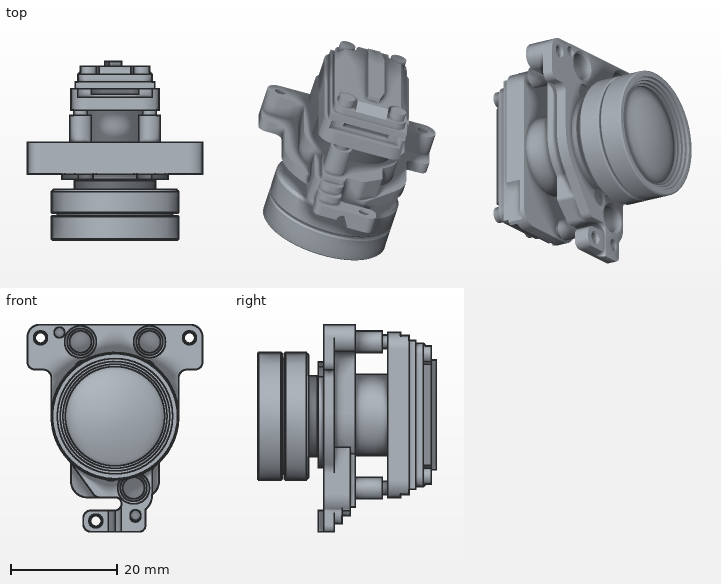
import cadquery as cq
import math


SAME_POINT = 1e-6

PLATE_THICK = 6.0
FRONT_LAYER = 2.05
RIM_R = 12.0
EAR_HALF_WIDTH = 16.5
PLATE_TOP = 17.0
EAR_CORNER_R = 2.4
FRONT_EAR_BOTTOM = 8.5
REAR_EAR_BOTTOM = 12.0
EAR_FILLET = 1.5
LOWER_BOTTOM = -15.5
LEFT_TANGENT_ANGLE = math.radians(215.7)
RIGHT_TANGENT_ANGLE = math.radians(315.8)
SLANT_END_R = 1.6
REAR_RIM_R = 9.3
REAR_WALL_X = -6.1
REAR_WALL_TOP_R = 1.5
REAR_WALL_BOTTOM = -11.8
REAR_WALL_END_R = 0.8
LOWER_RIGHT_X = 7.0
RIGHT_FILLET = 2.0
SHOULDER = (LOWER_RIGHT_X, -16.6, 3.5)

ARM_LEFT = 1.2
ARM_RIGHT = 5.75
ARM_BOTTOM = -22.0
ARM_CORNER_R = 1.2
ARM_NECK_Z = -17.8
ARM_NECK_R = 0.5
ARM_NECK = (ARM_RIGHT, ARM_NECK_Z, ARM_NECK_R)
SLOT_CORNER_R = 1.2
SLOT_CORNER = (ARM_LEFT, LOWER_BOTTOM, SLOT_CORNER_R)
TAB_TOP = -17.95
TAB_LEFT = -6.0
TAB_RIGHT = -1.24
TAB_CORNER_R = 1.5
TAB_RAISE = 1.0
REAR_STEPS = [
    (3.5, -20.5, 2.0),
    (5.05, -19.0, 2.0),
    (PLATE_THICK, -17.35, 0.6),
]

MOUNT_HOLES = [(-14.0, 14.5), (14.0, 14.5)]
TAB_HOLE = (-3.6, -19.95)
MOUNT_HOLE_D = 2.0
MOUNT_SINK_D = 2.6
PIN_D = 2.0
PIN_DEPTH = 1.5
TOP_PIN = (-10.45, 15.5)
ARM_PIN = (3.85, -18.85)
ARM_PIN_DROP = 0.3
ARM_PIN_RELIEF_DEPTH = 0.5

SPACERS = [(-6.5, 13.75), (6.5, 13.75), (3.5, -13.75)]
SPACER_D = 4.1
SPACER_END = 11.05
SPACER_NECK_D = 2.6
SPACER_BORE_D = 5.0
SPACER_SINK_D = 6.0
SPACER_BORE_DEPTH = 4.0
SPACER_HEAD_RISE = 0.2

BARREL_R = 7.65
LENS_DROP = 0.25
FLANGE_R = 10.0
FLANGE_THICK = 1.0
FLANGE_NOTCHES = [(-5.8, 8.5), (5.8, 8.5), (-0.75, -10.65)]
FLANGE_NOTCH_R = 1.75
FLANGE_NOTCH_SINK = 0.5
NECK_GAP = 0.2
NECK_GAP_R = 7.4
LENS_FRONT = -12.4
LENS_BACK = -2.8
GROOVE_BACK = -7.4
GROOVE_FRONT = -7.8
GROOVE_R = 10.9
BACK_CHAMFER = 0.5
RING_CHAMFER = 0.25
DOME_R = 9.35
DOME_RISE = 2.2
BORE_STEPS = [10.85, 10.3, 9.8]
BORE_STEP_DEPTH = 0.55

HOUSING_FRONT = 12.05
HOUSING_BACK = 16.1
HOUSING_HALF_X = 8.3
HOUSING_HALF_Z = 15.55
HOUSING_CORNER_R = 3.1
LEDGE_Y = 14.5
LEDGE_HALF_X = 7.0
LEDGE_HALF_Z = 13.85
LEDGE_R = 1.15
SCOOP_Y = 15.05
SCOOP_HALF_X = 4.45
SCOOP_R = 2.0
SIDE_RECESS_Y = 13.0
SIDE_RECESS_TOP = -6.85
SIDE_RECESS_DEPTH = 0.77
SIDE_RECESS_R = 2.0
BOARD_BACK = 17.35
BOARD_HALF_X = 7.5
BOARD_HALF_Z = 14.0
COVER_BACK = 18.75
COVER_HALF_X = 7.0
COVER_HALF_Z = 13.5
COVER_CORNER_R = 2.0
CAP_BACK = 20.3
SCREW_HEAD_R = 1.5
CONNECTOR_BACK = 21.22
CONNECTOR_LEFT = -1.95
CONNECTOR_RIGHT = 1.25
CONNECTOR_HALF_Z = 10.35
CONNECTOR_CUT_X = 0.85
CONNECTOR_CUT_Z = 3.1


def section(y):
    """Workplane facing -Y at the given Y, with local axes X and Z."""
    return cq.Workplane("XZ", origin=(0, y, 0))


def cylinder(center, radius, y_from, y_to):
    return section(y_from).center(*center).circle(radius).extrude(y_from - y_to)


def cone(center, radius_from, radius_to, y_from, y_to):
    base = section(y_from).center(*center).circle(radius_from)
    return base.workplane(offset=y_from - y_to).circle(radius_to).loft()


def block(x_from, x_to, z_from, z_to, y_from, y_to):
    return (
        section(y_from)
        .center((x_from + x_to) / 2, (z_from + z_to) / 2)
        .rect(x_to - x_from, z_to - z_from)
        .extrude(y_from - y_to)
    )


def centred_block(half_x, half_z, y_from, y_to):
    return block(-half_x, half_x, -half_z, half_z, y_from, y_to)


def rounded_prism(corners, y_from, y_to):
    """Prism over a polygon whose (x, z, radius) corners are rounded; radius 0 stays sharp."""
    path = None
    end = None
    for i, (x, z, radius) in enumerate(corners):
        corner = cq.Vector(x, z)
        to_last = (cq.Vector(*corners[i - 1][:2]) - corner).normalized()
        to_next = (cq.Vector(*corners[(i + 1) % len(corners)][:2]) - corner).normalized()
        half_angle = to_last.getAngle(to_next) / 2
        reach = radius / math.tan(half_angle)
        start = corner + to_last * reach
        if path is None:
            path = section(y_from).moveTo(start.x, start.y)
        elif (start - end).Length > SAME_POINT:
            path = path.lineTo(start.x, start.y)
        end = corner + to_next * reach
        if radius > 0:
            bisector = (to_last + to_next).normalized()
            middle = corner + bisector * (radius / math.sin(half_angle) - radius)
            path = path.threePointArc((middle.x, middle.y), (end.x, end.y))
    return path.close().extrude(y_from - y_to)


def rim_point(angle):
    return RIM_R * math.cos(angle), RIM_R * math.sin(angle)


def slant_x(z):
    """X at height Z on the line tangent to the rim at the left tangent angle."""
    return (RIM_R - z * math.sin(LEFT_TANGENT_ANGLE)) / math.cos(LEFT_TANGENT_ANGLE)


def ear_layer(rim_r, ear_bottom, ear_bottom_r, y_from, y_to):
    """Eared plate whose lower end is the half-round rim."""
    half_plate = [
        (EAR_HALF_WIDTH, PLATE_TOP, EAR_CORNER_R),
        (EAR_HALF_WIDTH, ear_bottom, ear_bottom_r),
        (rim_r, ear_bottom, EAR_FILLET),
        (rim_r, -rim_r, rim_r),
    ]
    mirrored = [(-x, z, r) for x, z, r in reversed(half_plate)]
    return rounded_prism(half_plate + mirrored, y_from, y_to)


def front_layer():
    """Full outline of the plate including the lower arm and tab."""
    left_x, left_z = rim_point(LEFT_TANGENT_ANGLE)
    right_x, right_z = rim_point(RIGHT_TANGENT_ANGLE)
    right_corner_z = right_z + (LOWER_RIGHT_X - right_x) * -right_x / right_z
    lower = [
        (left_x, left_z, 0),
        (slant_x(LOWER_BOTTOM), LOWER_BOTTOM, SLANT_END_R),
        SLOT_CORNER,
        (ARM_LEFT, TAB_TOP, SLOT_CORNER_R),
        (TAB_LEFT, TAB_TOP, TAB_CORNER_R),
        (TAB_LEFT, ARM_BOTTOM, TAB_CORNER_R),
        (ARM_RIGHT, ARM_BOTTOM, ARM_CORNER_R),
        ARM_NECK,
        SHOULDER,
        (LOWER_RIGHT_X, right_corner_z, RIGHT_FILLET),
        (right_x, right_z, 0),
        (0, 0, 0),
    ]
    layer = ear_layer(RIM_R, FRONT_EAR_BOTTOM, EAR_FILLET, 0, FRONT_LAYER)
    return layer.union(rounded_prism(lower, 0, FRONT_LAYER))


def rear_layer():
    """Narrower rear part of the plate, stepping forward down the arm."""
    layer = ear_layer(REAR_RIM_R, REAR_EAR_BOTTOM, EAR_CORNER_R, 0, PLATE_THICK)
    fillet_reach = REAR_RIM_R + REAR_WALL_TOP_R
    fillet_x = REAR_WALL_X - REAR_WALL_TOP_R
    fillet_z = -math.sqrt(fillet_reach**2 - fillet_x**2)
    rim_x = fillet_x * REAR_RIM_R / fillet_reach
    rim_z = fillet_z * REAR_RIM_R / fillet_reach
    web = (
        section(0)
        .lineTo(rim_x, rim_z)
        .radiusArc((REAR_WALL_X, fillet_z), REAR_WALL_TOP_R)
        .lineTo(0, fillet_z)
        .close()
        .extrude(-PLATE_THICK)
    )
    layer = layer.union(web)
    wall = [
        (0, fillet_z, 0),
        (REAR_WALL_X, fillet_z, 0),
        (REAR_WALL_X, REAR_WALL_BOTTOM, REAR_WALL_END_R),
        (REAR_WALL_X + REAR_WALL_BOTTOM - LOWER_BOTTOM, LOWER_BOTTOM, SLANT_END_R),
        SLOT_CORNER,
    ]
    for y_back, bottom, corner_r in REAR_STEPS:
        if bottom < ARM_NECK_Z:
            right_side = [(ARM_RIGHT, bottom, corner_r), ARM_NECK, SHOULDER, (LOWER_RIGHT_X, 0, 0)]
        else:
            right_side = [(ARM_RIGHT, bottom, 0), (ARM_RIGHT, 0, 0)]
        outline = wall + [(ARM_LEFT, bottom, corner_r)] + right_side + [(0, 0, 0)]
        layer = layer.union(rounded_prism(outline, 0, y_back))
    return layer


def offset_tab():
    """Raised front of the screw tab, rounded at its left end and reaching into the groove."""
    corners = [
        (TAB_LEFT, TAB_TOP, TAB_CORNER_R),
        (0, TAB_TOP, 0),
        (0, ARM_BOTTOM, 0),
        (TAB_LEFT, ARM_BOTTOM, TAB_CORNER_R),
    ]
    return rounded_prism(corners, -TAB_RAISE, 0)


def arm_groove():
    """Vertical groove between tab and arm: quarter round at the arm, sloped at the tab."""
    profile = (
        cq.Workplane("XY", origin=(0, 0, ARM_BOTTOM))
        .moveTo(ARM_LEFT, 0)
        .radiusArc((0, ARM_LEFT), -ARM_LEFT)
        .lineTo(TAB_RIGHT, -TAB_RAISE)
        .lineTo(ARM_LEFT, -TAB_RAISE)
        .close()
    )
    return profile.extrude(LOWER_BOTTOM - SLOT_CORNER_R - ARM_BOTTOM)


def countersunk_hole(center, hole_d, sink_d, y_face, y_end):
    sink_depth = (sink_d - hole_d) / 2
    hole = cylinder(center, hole_d / 2, y_face, y_end)
    return hole.union(cone(center, sink_d / 2, hole_d / 2, y_face, y_face + sink_depth))


def pin_holes():
    holes = cylinder(TOP_PIN, PIN_D / 2, 0, PIN_DEPTH)
    holes = holes.union(cylinder(ARM_PIN, PIN_D / 2, 0, PIN_DEPTH))
    relief = (
        section(0)
        .center(ARM_PIN[0], ARM_PIN[1] - ARM_PIN_DROP / 2)
        .slot2D(PIN_D + ARM_PIN_DROP, PIN_D, 90)
        .extrude(-ARM_PIN_RELIEF_DEPTH)
    )
    return holes.union(relief)


def mounting_plate():
    plate = front_layer().union(rear_layer()).union(offset_tab()).cut(arm_groove())
    for center in MOUNT_HOLES:
        plate = plate.cut(countersunk_hole(center, MOUNT_HOLE_D, MOUNT_SINK_D, 0, PLATE_THICK))
    plate = plate.cut(countersunk_hole(TAB_HOLE, MOUNT_HOLE_D, MOUNT_SINK_D, -TAB_RAISE, FRONT_LAYER))
    for center in SPACERS:
        plate = plate.cut(countersunk_hole(center, SPACER_BORE_D, SPACER_SINK_D, 0, SPACER_BORE_DEPTH))
    return plate.cut(pin_holes())


def spacer(center):
    head = SPACER_BORE_DEPTH - SPACER_HEAD_RISE
    body = cylinder(center, SPACER_D / 2, head, SPACER_END)
    return body.union(cylinder(center, SPACER_NECK_D / 2, SPACER_END, HOUSING_FRONT))


def lens_group():
    """Neck, two rings with a groove between them, stepped bore and domed front glass."""
    rim_y = LENS_FRONT + BORE_STEP_DEPTH * (len(BORE_STEPS) + 1)
    dome_sphere_r = (DOME_R**2 + DOME_RISE**2) / (2 * DOME_RISE)
    half_chord = DOME_R / 2
    half_chord_rise = math.sqrt(dome_sphere_r**2 - half_chord**2) - (dome_sphere_r - DOME_RISE)
    profile = (
        cq.Workplane("XY")
        .moveTo(0, -FLANGE_THICK)
        .lineTo(NECK_GAP_R, -FLANGE_THICK)
        .lineTo(NECK_GAP_R, -FLANGE_THICK - NECK_GAP)
        .lineTo(BARREL_R, -FLANGE_THICK - NECK_GAP)
        .lineTo(BARREL_R, LENS_BACK)
        .lineTo(RIM_R - BACK_CHAMFER, LENS_BACK)
        .lineTo(RIM_R, LENS_BACK - BACK_CHAMFER)
        .lineTo(RIM_R, GROOVE_BACK + RING_CHAMFER)
        .lineTo(RIM_R - RING_CHAMFER, GROOVE_BACK)
        .lineTo(GROOVE_R, GROOVE_BACK)
        .lineTo(GROOVE_R, GROOVE_FRONT)
        .lineTo(RIM_R - RING_CHAMFER, GROOVE_FRONT)
        .lineTo(RIM_R, GROOVE_FRONT - RING_CHAMFER)
        .lineTo(RIM_R, LENS_FRONT + RING_CHAMFER)
        .lineTo(RIM_R - RING_CHAMFER, LENS_FRONT)
        .lineTo(BORE_STEPS[0], LENS_FRONT)
    )
    for i, (step_r, next_r) in enumerate(zip(BORE_STEPS, BORE_STEPS[1:] + [DOME_R]), start=1):
        step_y = LENS_FRONT + BORE_STEP_DEPTH * i
        profile = profile.lineTo(step_r, step_y).lineTo(next_r, step_y)
    profile = (
        profile.lineTo(DOME_R, rim_y)
        .threePointArc((half_chord, rim_y - half_chord_rise), (0, rim_y - DOME_RISE))
        .close()
    )
    return profile.revolve(360, (0, 0, 0), (0, 1, 0)).translate((0, 0, -LENS_DROP))


def lens():
    flange = cylinder((0, 0), FLANGE_R, -FLANGE_THICK, 0)
    barrel = cylinder((0, 0), BARREL_R, PLATE_THICK, HOUSING_FRONT)
    return flange.union(lens_group()).union(barrel)


def flange_notches():
    notches = cq.Workplane("XZ")
    for center in FLANGE_NOTCHES:
        notches = notches.add(cylinder(center, FLANGE_NOTCH_R, -FLANGE_THICK, FLANGE_NOTCH_SINK))
    return notches.combine()


def end_recess(side, half_x, floor_z, corner_r, y_from):
    """Recess in the top (side 1) or bottom (side -1) of the housing, open to the back."""
    mouth_z = HOUSING_HALF_Z + corner_r
    corners = [
        (-half_x, side * mouth_z, 0),
        (half_x, side * mouth_z, 0),
        (half_x, side * floor_z, corner_r),
        (-half_x, side * floor_z, corner_r),
    ]
    return rounded_prism(corners, y_from, HOUSING_BACK)


def side_recess():
    """Shallow recess low on the left side of the housing with a curved roof."""
    wall_x = SIDE_RECESS_DEPTH - HOUSING_HALF_X
    roof_height = math.sqrt(SIDE_RECESS_R**2 - (SIDE_RECESS_R - SIDE_RECESS_DEPTH) ** 2)
    return (
        section(SIDE_RECESS_Y)
        .moveTo(-HOUSING_HALF_X, SIDE_RECESS_TOP)
        .radiusArc((wall_x, SIDE_RECESS_TOP - roof_height), SIDE_RECESS_R)
        .lineTo(wall_x, -HOUSING_HALF_Z)
        .lineTo(-HOUSING_HALF_X, -HOUSING_HALF_Z)
        .close()
        .extrude(SIDE_RECESS_Y - HOUSING_BACK)
    )


def sensor_housing():
    housing = centred_block(HOUSING_HALF_X, HOUSING_HALF_Z, HOUSING_FRONT, HOUSING_BACK)
    housing = housing.edges("|Y").fillet(HOUSING_CORNER_R)
    for side in (-1, 1):
        housing = housing.cut(end_recess(side, LEDGE_HALF_X, LEDGE_HALF_Z, LEDGE_R, LEDGE_Y))
        housing = housing.cut(end_recess(side, SCOOP_HALF_X, LEDGE_HALF_Z - SCOOP_R, SCOOP_R, SCOOP_Y))
    return housing.cut(side_recess())


def cap_notch(screw_x, screw_z):
    """Corner notch in the cap, its inner corner rounded about the screw head."""
    inner_x = screw_x - math.copysign(COVER_CORNER_R, screw_x)
    inner_z = screw_z - math.copysign(COVER_CORNER_R, screw_z)
    outer_x = math.copysign(COVER_HALF_X, screw_x)
    outer_z = math.copysign(COVER_HALF_Z, screw_z)
    corners = [
        (inner_x, inner_z, COVER_CORNER_R),
        (outer_x, inner_z, 0),
        (outer_x, outer_z, 0),
        (inner_x, outer_z, 0),
    ]
    return rounded_prism(corners, COVER_BACK, CAP_BACK)


def back_cover():
    """Cover plate, bevelled cap notched around four screw heads, and connector."""
    cover = centred_block(COVER_HALF_X, COVER_HALF_Z, BOARD_BACK, CAP_BACK)
    cover = cover.edges("|Y").fillet(COVER_CORNER_R)
    bevelled = centred_block(COVER_HALF_X, COVER_HALF_Z, BOARD_BACK, CAP_BACK)
    cover = cover.intersect(bevelled.faces(">Y").chamfer(CAP_BACK - COVER_BACK))
    screw_x = COVER_HALF_X - COVER_CORNER_R
    screw_z = COVER_HALF_Z - COVER_CORNER_R
    for x in (-screw_x, screw_x):
        for z in (-screw_z, screw_z):
            cover = cover.cut(cap_notch(x, z))
            cover = cover.union(cylinder((x, z), SCREW_HEAD_R, COVER_BACK, CAP_BACK))
    outline = [
        (CONNECTOR_RIGHT, CONNECTOR_HALF_Z),
        (CONNECTOR_LEFT + CONNECTOR_CUT_X, CONNECTOR_HALF_Z),
        (CONNECTOR_LEFT, CONNECTOR_HALF_Z - CONNECTOR_CUT_Z),
        (CONNECTOR_LEFT, CONNECTOR_CUT_Z - CONNECTOR_HALF_Z),
        (CONNECTOR_LEFT + CONNECTOR_CUT_X, -CONNECTOR_HALF_Z),
        (CONNECTOR_RIGHT, -CONNECTOR_HALF_Z),
    ]
    return cover.union(section(CAP_BACK).polyline(outline).close().extrude(CAP_BACK - CONNECTOR_BACK))


result = mounting_plate().union(lens()).cut(flange_notches())
for spacer_center in SPACERS:
    result = result.union(spacer(spacer_center))
result = result.union(sensor_housing())
result = result.union(centred_block(BOARD_HALF_X, BOARD_HALF_Z, HOUSING_BACK, BOARD_BACK))
result = result.union(back_cover())